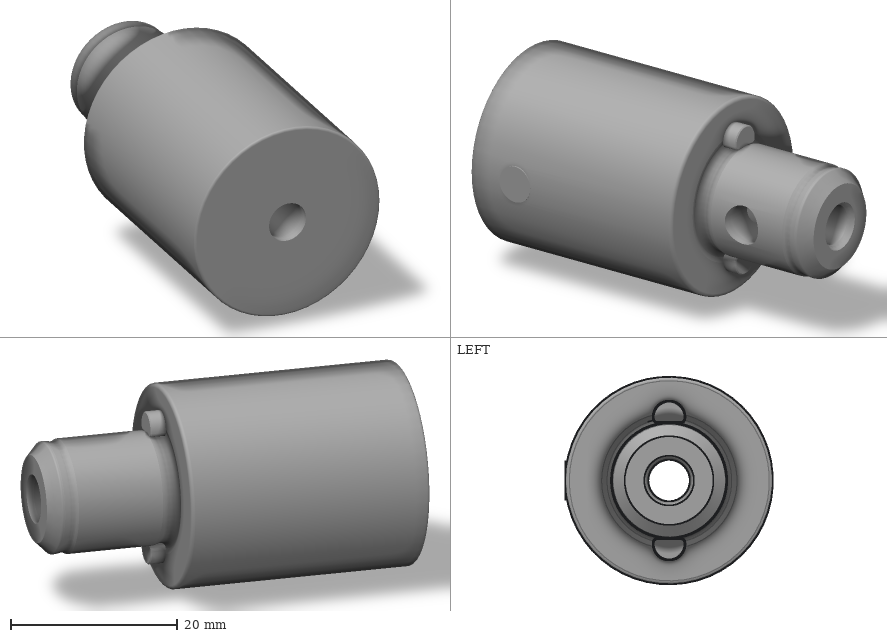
import cadquery as cq
import math

total_length = 46.0
body_radius = 12.49
shoulder_x = 16.0
shoulder_edge_fillet = 0.45
end_edge_fillet = 0.3

shaft_radius = 7.0
nose_radius = 5.35
nose_chamfer = 1.43
nose_crest_start = 1.7
nose_crest_end = 1.85
nose_crest_radius = 6.85

front_relief_radius = 6.7
relief_fillet = 0.75
front_relief_start = 2.7
front_relief_end = 2.85
front_relief_angle = math.radians(30)
rear_taper_start = 14.1
rear_taper_angle = math.radians(15)
rear_relief_radius = 6.75
rear_blend = 0.1
face_relief_depth = 0.15
face_relief_radius = 8.15

bore_radius = 2.5
countersink_radius = 3.0
countersink_depth = 0.8

locking_hole_x = 9.55
locking_hole_radius = 2.5

key_front_x = rear_taper_start
key_radius = 2.0
key_center_height = 7.65
key_seat_height = 6.9
key_corner_fillet = 0.6
key_front_chamfer = 0.15

plug_x = 39.38
plug_radius = 2.3
plug_depth = 4.6


def make_turned_blank():
    """Shaft and large cylinder as one profile revolved around the X axis."""
    sweep = front_relief_angle
    fillet_end_x = front_relief_end + relief_fillet * math.sin(sweep)
    fillet_end_r = front_relief_radius + relief_fillet * (1 - math.cos(sweep))
    fillet_mid_x = front_relief_end + relief_fillet * math.sin(sweep / 2)
    fillet_mid_r = front_relief_radius + relief_fillet * (1 - math.cos(sweep / 2))
    runout_end_x = fillet_end_x + (shaft_radius - fillet_end_r) / math.tan(sweep)

    taper_slope = math.tan(rear_taper_angle)
    rear_relief_x = rear_taper_start + (shaft_radius - rear_relief_radius) / taper_slope
    taper_end_r = rear_relief_radius + rear_blend * taper_slope
    rear_fillet_x = shoulder_x + face_relief_depth - relief_fillet

    profile = (
        cq.Workplane("XY")
        .moveTo(0, 0)
        .lineTo(0, nose_radius)
        .lineTo(nose_chamfer, nose_radius + nose_chamfer)
        .tangentArcPoint((nose_crest_start, nose_crest_radius), relative=False)
        .lineTo(nose_crest_end, nose_crest_radius)
        .lineTo(front_relief_start, front_relief_radius)
        .lineTo(front_relief_end, front_relief_radius)
        .threePointArc((fillet_mid_x, fillet_mid_r), (fillet_end_x, fillet_end_r))
        .lineTo(runout_end_x, shaft_radius)
        .lineTo(rear_taper_start, shaft_radius)
        .lineTo(rear_relief_x - rear_blend, taper_end_r)
        .tangentArcPoint((rear_relief_x + rear_blend, rear_relief_radius), relative=False)
        .lineTo(rear_fillet_x, rear_relief_radius)
        .tangentArcPoint((relief_fillet, relief_fillet))
        .lineTo(shoulder_x, face_relief_radius)
        .lineTo(shoulder_x, body_radius - shoulder_edge_fillet)
        .tangentArcPoint((shoulder_edge_fillet, shoulder_edge_fillet))
        .lineTo(total_length - end_edge_fillet, body_radius)
        .tangentArcPoint((end_edge_fillet, -end_edge_fillet))
        .lineTo(total_length, 0)
        .close()
    )
    return profile.revolve(360, (0, 0, 0), (1, 0, 0))


def make_bore():
    """Through bore with a conical mouth at the shaft end."""
    return (
        cq.Workplane("XY")
        .lineTo(0, countersink_radius)
        .lineTo(countersink_depth, bore_radius)
        .lineTo(total_length, bore_radius)
        .lineTo(total_length, 0)
        .close()
        .revolve(360, (0, 0, 0), (1, 0, 0))
    )


def make_key(angle):
    """Drive key: a cylinder along X with a flat underside, turned about X."""
    key_length = shoulder_x - key_front_x
    block_height = key_center_height + key_radius - key_seat_height
    above_seat = cq.Workplane("XY").box(
        key_length, 2 * key_radius, block_height, centered=(False, True, False)
    )
    key = (
        cq.Workplane("YZ")
        .center(0, key_center_height)
        .circle(key_radius)
        .extrude(key_length)
        .intersect(above_seat.translate((0, 0, key_seat_height)))
        .edges("|X and <Z")
        .fillet(key_corner_fillet)
        .faces("<X")
        .chamfer(key_front_chamfer)
    )
    return key.translate((key_front_x, 0, 0)).rotate((0, 0, 0), (1, 0, 0), angle)


def make_side_cylinder(x, radius, inner_y, outer_y):
    """Cylinder along Y between two distances from the axis."""
    return (
        cq.Workplane("XZ", origin=(x, inner_y, 0))
        .circle(radius)
        .extrude(inner_y - outer_y)
    )


drive_keys = [make_key(angle) for angle in (0, 180)]
plug = make_side_cylinder(plug_x, plug_radius, body_radius - plug_depth, body_radius)

locking_hole = make_side_cylinder(locking_hole_x, locking_hole_radius, 0, body_radius)
adapter = make_turned_blank().cut(make_bore()).cut(locking_hole).cut(plug)
for drive_key in drive_keys:
    adapter = adapter.cut(drive_key)

result = cq.Compound.makeCompound(
    [adapter.val(), plug.val(), *[drive_key.val() for drive_key in drive_keys]]
)